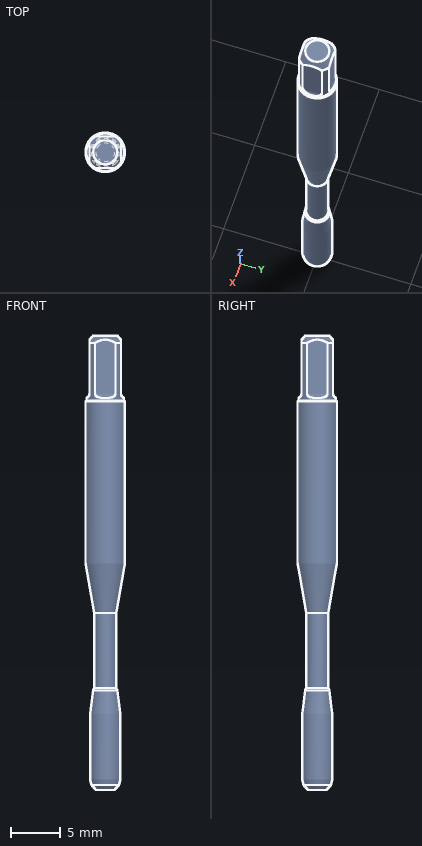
import cadquery as cq
import math

TOTAL_LENGTH = 46.1

TIP_END_DIAMETER = 1.9
TIP_LEAD_DIAMETER = 2.8
TIP_DIAMETER = 3.1
TIP_LEAD_Z = 0.5
TIP_CYLINDER_Z = 1.05
TIP_CONE_Z = 7.7
COLLAR_DIAMETER = 2.5
COLLAR_Z = 10.1
COLLAR_BEVEL_TOP_Z = 10.33

NECK_DIAMETER = 2.25
NECK_TOP_Z = 18.0
TAPER_END_DIAMETER = 2.3
TAPER_END_Z = 18.05
SHANK_DIAMETER = 4.0
SHANK_CYLINDER_Z = 22.95
SHANK_TOP_Z = 39.5
SHANK_BEVEL = 0.1

DRIVE_DIAMETER = 3.83
DRIVE_ACROSS_FLATS = 3.25
DRIVE_END_DIAMETER = 2.45
DRIVE_CHAMFER_HEIGHT = 0.75
FLAT_BOTTOM_Z = 39.75
SHOULDER_RADIUS = 0.45


def revolve_profile(stations):
    """Solid of revolution through (diameter, z) stations, listed upwards."""
    points = [(diameter / 2, z) for diameter, z in stations]
    bottom = (0, stations[0][1])
    top = (0, stations[-1][1])
    return cq.Workplane("XZ").polyline([bottom, *points, top]).close().revolve(360, (0, 0), (0, 1))


def flat_cutter():
    """Cutter for the +X drive flat, with a rounded run-out at its foot."""
    flat_x = DRIVE_ACROSS_FLATS / 2
    arc_shift = SHOULDER_RADIUS * (1 - math.sqrt(0.5))
    return (
        cq.Workplane("XZ")
        .moveTo(flat_x, TOTAL_LENGTH)
        .lineTo(flat_x, FLAT_BOTTOM_Z + SHOULDER_RADIUS)
        .threePointArc(
            (flat_x + arc_shift, FLAT_BOTTOM_Z + arc_shift),
            (flat_x + SHOULDER_RADIUS, FLAT_BOTTOM_Z),
        )
        .lineTo(SHANK_DIAMETER, FLAT_BOTTOM_Z)
        .lineTo(SHANK_DIAMETER, TOTAL_LENGTH)
        .close()
        .extrude(SHANK_DIAMETER / 2, both=True)
    )


def make_shank():
    """Bevelled taper, cylindrical shank and square drive."""
    shank = revolve_profile([
        (NECK_DIAMETER, NECK_TOP_Z),
        (TAPER_END_DIAMETER, TAPER_END_Z),
        (SHANK_DIAMETER, SHANK_CYLINDER_Z),
        (SHANK_DIAMETER, SHANK_TOP_Z - SHANK_BEVEL),
        (DRIVE_DIAMETER, SHANK_TOP_Z),
        (DRIVE_DIAMETER, TOTAL_LENGTH - DRIVE_CHAMFER_HEIGHT),
        (DRIVE_END_DIAMETER, TOTAL_LENGTH),
    ])
    for side in range(4):
        shank = shank.cut(flat_cutter().rotate((0, 0, 0), (0, 0, 1), 90 * side))
    return shank


def make_tip():
    """Working tip: double lead-in cone, cylinder, back taper, collar bevel and neck."""
    return revolve_profile([
        (TIP_END_DIAMETER, 0),
        (TIP_LEAD_DIAMETER, TIP_LEAD_Z),
        (TIP_DIAMETER, TIP_CYLINDER_Z),
        (TIP_DIAMETER, TIP_CONE_Z),
        (COLLAR_DIAMETER, COLLAR_Z),
        (NECK_DIAMETER, COLLAR_BEVEL_TOP_Z),
        (NECK_DIAMETER, NECK_TOP_Z),
    ])


shank = make_shank()
tip = make_tip()
result = cq.Compound.makeCompound([shank.val(), tip.val()])